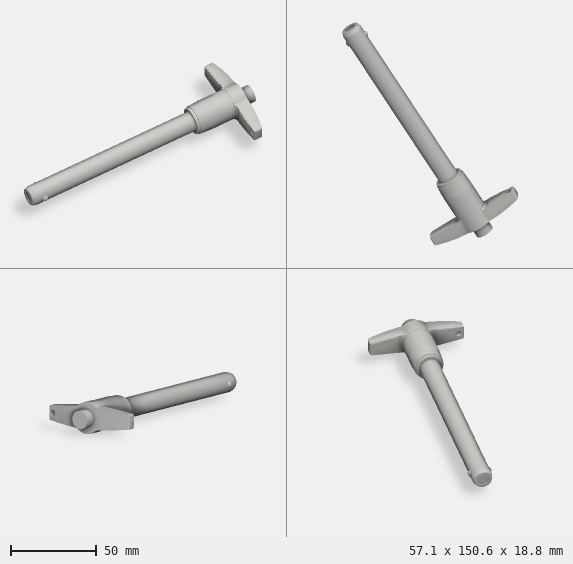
import cadquery as cq
import math

total_length = 150.6
button_diameter = 10.7
shaft_diameter = 12.0

hub_diameter = 18.8
hub_start = 6.6
hub_end = 15.7
sleeve_start_diameter = 18.4
sleeve_diameter = 18.5
sleeve_taper_start = 31.0
sleeve_end = 38.9
sleeve_end_diameter = 17.6
lip_diameter = 16.4
lip_end = 40.7

flare_diameter = 20.8
flare_start = 14.6

handle_span = 57.1
arm_root_x = 8.1
arm_root_width = 13.0
arm_tip_width = 8.5
arm_base = 14.6
arm_tip_start = 9.3
arm_tip_chamfer = 0.6
root_fillet = 3.0

pad_height = 0.38
pad_margin = 0.38
pad_inner_x = 11.6
left_pad_outer_x = 27.7
right_pad_outer_x = 22.6

lanyard_hole_diameter = 3.6
lanyard_hole_x = 25.2

tip_chamfer_length = 2.4
tip_chamfer_depth = 0.8
spindle_diameter = 6.8
spindle_recess = 0.6
ball_diameter = 4.4
ball_span = 14.3
ball_position = 142.8

half_span = handle_span / 2


def turned_body():
    """Revolve the button, hub, sleeve, lip and shaft about the Y axis."""
    shaft_radius = shaft_diameter / 2
    profile = [
        (0, 0),
        (button_diameter / 2, 0),
        (button_diameter / 2, -hub_start),
        (hub_diameter / 2, -hub_start),
        (hub_diameter / 2, -hub_end),
        (sleeve_start_diameter / 2, -hub_end),
        (sleeve_diameter / 2, -sleeve_taper_start),
        (sleeve_end_diameter / 2, -sleeve_end),
        (lip_diameter / 2, -sleeve_end),
        (lip_diameter / 2, -lip_end),
        (shaft_radius, -lip_end),
        (shaft_radius, tip_chamfer_length - total_length),
        (shaft_radius - tip_chamfer_depth, -total_length),
        (spindle_diameter / 2, -total_length),
        (spindle_diameter / 2, spindle_recess - total_length),
        (0, spindle_recess - total_length),
    ]
    return cq.Workplane("XY").polyline(profile).close().revolve(360, (0, 0, 0), (0, 1, 0))


def arm_half_width(x):
    """Half of the arm's Z width, tapering linearly from root to tip."""
    taper = (arm_root_width - arm_tip_width) / 2 / (half_span - arm_root_x)
    return arm_root_width / 2 - taper * (x - arm_root_x)


def tapered_block(x_inner, x_outer, start, end, margin=0.0):
    """Block on the +X side that follows the arm taper between two positions."""
    inner = arm_half_width(x_inner) - margin
    outer = arm_half_width(x_outer) - margin
    corners = [(x_inner, -inner), (x_outer, -outer), (x_outer, outer), (x_inner, inner)]
    return cq.Workplane("XZ", origin=(0, -start, 0)).polyline(corners).close().extrude(end - start)


def arm_silhouette():
    """Slab with the arched back shared by both arms."""
    arch_drop = arm_tip_start - hub_start
    run = half_span - arm_root_x
    arch_radius = (run**2 + arch_drop**2) / (2 * arch_drop)
    middle_angle = math.asin(run / arch_radius) / 2
    middle_x = arm_root_x + arch_radius * math.sin(middle_angle)
    middle_y = -hub_start - arch_radius * (1 - math.cos(middle_angle))
    return (
        cq.Workplane("XY")
        .moveTo(0, -hub_start)
        .lineTo(arm_root_x, -hub_start)
        .threePointArc((middle_x, middle_y), (half_span, -arm_tip_start))
        .lineTo(half_span, -arm_base)
        .lineTo(0, -arm_base)
        .close()
        .extrude(hub_diameter / 2, both=True)
    )


def handle():
    """Hub with both arms, blended where the arm flanks meet the hub."""
    hub = cq.Workplane("XZ", origin=(0, -hub_start, 0)).circle(hub_diameter / 2)
    hub = hub.extrude(arm_base - hub_start)
    arm = tapered_block(0, half_span, hub_start, arm_base).intersect(arm_silhouette())
    arm = arm.faces(">X").chamfer(arm_tip_chamfer)
    body = hub.union(arm).union(arm.mirror("YZ"))
    corner_limit = hub_diameter / 2
    corners = cq.selectors.BoxSelector(
        (-corner_limit, -arm_base, -corner_limit),
        (corner_limit, -hub_start, corner_limit),
    )
    return body.edges("|Y").edges(corners).fillet(root_fillet)


def pads():
    right = tapered_block(pad_inner_x, right_pad_outer_x, arm_base, arm_base + pad_height, pad_margin)
    left = tapered_block(pad_inner_x, left_pad_outer_x, arm_base, arm_base + pad_height, pad_margin)
    return right.union(left.mirror("YZ"))


def flare():
    """Conical collar from the arms to the sleeve, trimmed to the arm width."""
    collar = (
        cq.Workplane("XZ", origin=(0, -flare_start, 0))
        .circle(flare_diameter / 2)
        .workplane(offset=hub_end - flare_start)
        .circle(hub_diameter / 2)
        .loft()
    )
    arm = tapered_block(0, half_span, flare_start, hub_end)
    return collar.intersect(arm.union(arm.mirror("YZ")))


def locking_balls():
    """Pair of balls that protrude from opposite sides of the shaft."""
    ball_x = (ball_span - ball_diameter) / 2
    centers = [(-ball_x, -ball_position), (ball_x, -ball_position)]
    return cq.Workplane("XY").pushPoints(centers).sphere(ball_diameter / 2)


def lanyard_hole():
    return (
        cq.Workplane("XZ")
        .center(lanyard_hole_x, 0)
        .circle(lanyard_hole_diameter / 2)
        .extrude(hub_end)
    )


result = turned_body().union(handle()).union(flare()).union(pads()).union(locking_balls())
result = result.cut(lanyard_hole())
result = result.translate((0, total_length / 2, 0))